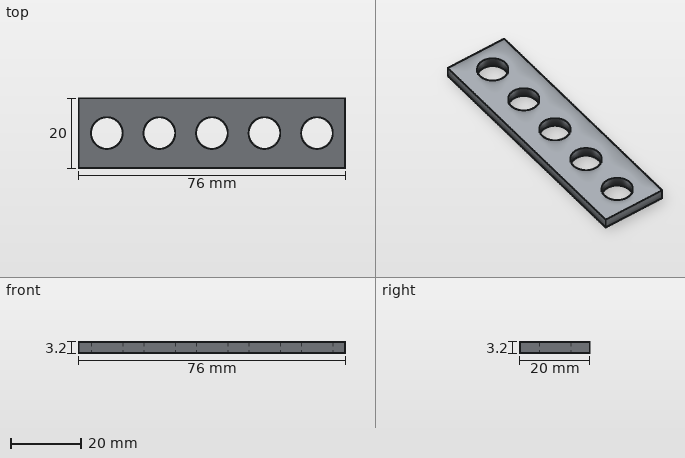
import cadquery as cq

plate_length = 76.0
plate_width = 20.0
plate_thickness = 3.2

hole_count = 5
hole_diameter = 9.0
hole_pitch = 15.0

plate = cq.Workplane("XY").box(plate_length, plate_width, plate_thickness)

result = (
    plate.faces(">Z")
    .workplane()
    .rarray(hole_pitch, plate_width, hole_count, 1)
    .hole(hole_diameter)
)